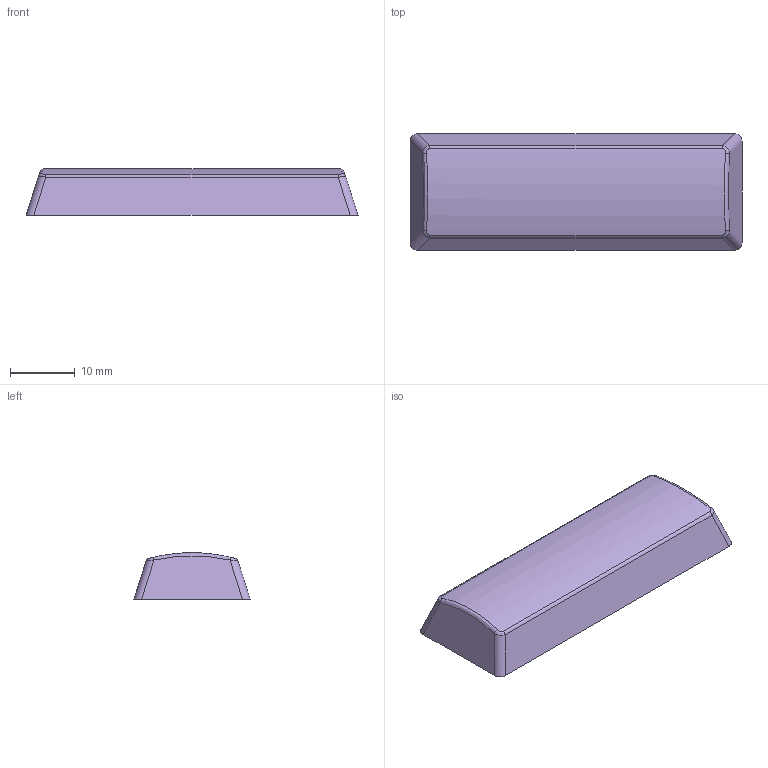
import cadquery as cq
import math

LENGTH = 51.34
WIDTH = 18.0
HEIGHT = 7.2
WALL_DRAFT = 17.6
CORNER_RADIUS = 1.25
CROWN_RADIUS = 25.5
RIM_RADIUS = 0.65


def drafted_block():
    """Rectangular block whose walls lean inward, with rounded corner edges."""
    block = cq.Workplane("XY").rect(LENGTH, WIDTH).extrude(HEIGHT, taper=WALL_DRAFT)
    corner_edges = block.edges("not(#Z or |X or |Y)")
    return corner_edges.fillet(CORNER_RADIUS)


def crown_envelope():
    """Prism along X with a flat base and an arched top that touches the full height."""
    half_length = LENGTH / 2
    half_width = WIDTH / 2
    crown_drop = CROWN_RADIUS - math.sqrt(CROWN_RADIUS**2 - half_width**2)
    shoulder = HEIGHT - crown_drop
    profile = (
        cq.Workplane("YZ")
        .moveTo(-half_width, 0)
        .lineTo(half_width, 0)
        .lineTo(half_width, shoulder)
        .threePointArc((0, HEIGHT), (-half_width, shoulder))
        .close()
    )
    return profile.extrude(half_length, both=True)


def round_rim(cap):
    """Round the whole edge loop around the crowned top face."""
    return cap.faces(">Z").edges().fillet(RIM_RADIUS)


crowned_cap = drafted_block().intersect(crown_envelope())
result = round_rim(crowned_cap)